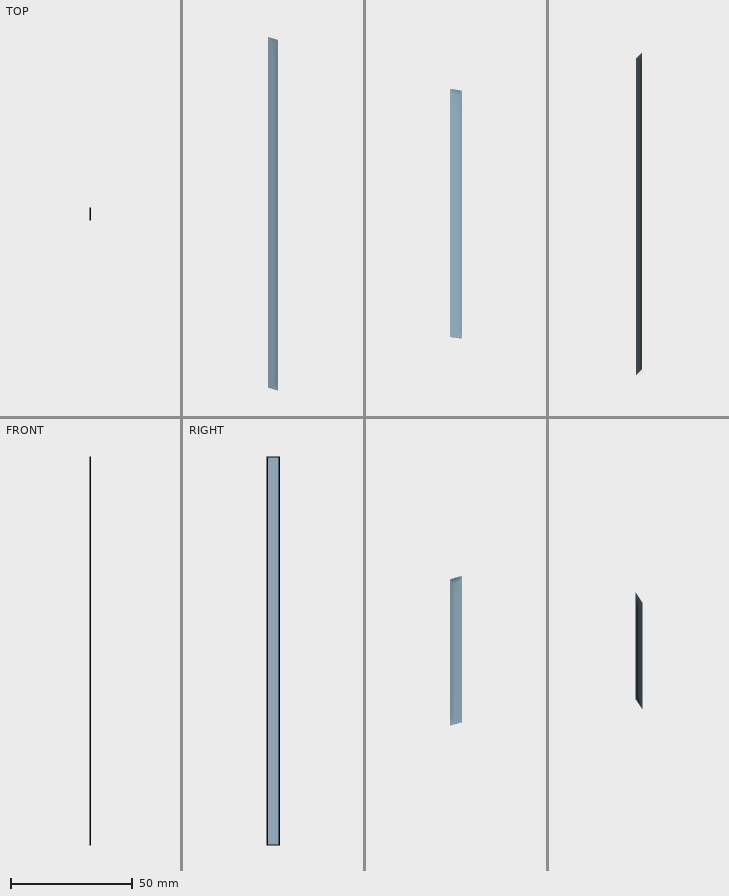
import cadquery as cq

thickness = 0.1
width = 5.0
length = 160.0

result = cq.Workplane("XY").box(thickness, width, length)